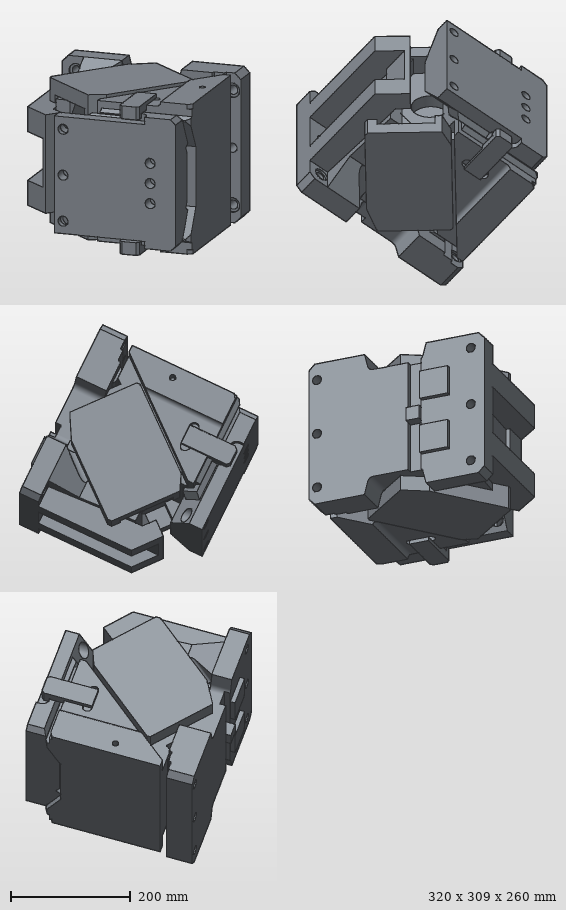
import cadquery as cq
import math


SLIDE_ANGLE = 50
SLIDE_ORIGIN = (140.8, -244.5)
FLANK_ANGLE = 60
SLOPE = math.tan(math.radians(FLANK_ANGLE))

LENGTH = 320
HALF_HEIGHT = 130.0
PLATE_DEPTH = 35.2
PLATE_CHAMFER = 10.5
BLOCK_LEFT = 202.2
BLOCK_DEPTH = 55.7
BLOCK_END_DEPTH = 45.5
BLOCK_STEPS = [(273.0, -BLOCK_DEPTH), (275.0, -50.5), (292.5, -50.5), (294.5, -BLOCK_END_DEPTH)]
BLOCK_TAB = [(240.5, -BLOCK_DEPTH), (246.0, -60.0), (268.8, -60.0), (273.0, -BLOCK_DEPTH)]
NOTCH_TOP = (106.2, 218.5)
NOTCH_FLOOR = (114.2, 211.0)
NOTCH_FILLET = 10.5
ARM_HALF_HEIGHT = 85.5
ARM_THICKNESS = 38.0
ARM_THICKNESS_END = 45.5
WINDOW_HALF_HEIGHT = 42.2
ARM_END = -207.7
HOOK_TIP = (45.0, -245.0)
HOOK_NOSE = (64.5, -222.0)
HOOK_INSIDE = (45.5, -205.8)
GUIDE_END = -193.3
WINDOW_STEP = (-192, -185.3)
GUIDE_NEAR = 64
GUIDE_START = -6.5
GUIDE_FAR_END = 201.5
CHANNEL_WALL = 160.5
CHANNEL_FILLET = 9.5
GUSSET_END = -91.2
SCREW_RADIUS = 8.0
SCREW_HEAD_RADIUS = 12.5
SCREW_HEAD_DEPTH = 4.0
LEFT_SCREW = (24.5, 104.3)
RIGHT_SCREW = (305.3, 99.5)
KEY_X = 127.0
KEY_SIZE = 24.0
KEYWAY_DEPTH = 10.2
KEY_RISE = 9.0
MOUNT_X = (63.0, 114.2)
MOUNT_Z = (24.5, 75.2)
MOUNT_RISE = 8.3

SLIDER_RIGHT = 307.5
SLIDER_BACK = -60.5
SLIDER_FRONT = -255.0
SLIDER_HALF_HEIGHT = 122.0
PAD_LEFT = 252.5
PAD_FILLET = 8.0
PAD_CORNER = (8.3, 5.0)
PIN_HOLE = (287.5, -145.3)
PIN_HOLE_RADIUS = 5.0
PIN_HOLE_DEPTH = 25.5
WEAR_STRIP_LEFT = 148.0
WEAR_STRIP_FRONT = -264.0
WEAR_STRIP_TOP = 109.5
WEAR_STRIP_EDGE = 104.3
SIDE_PLATE_TOP = 125.8
SIDE_PLATE_BOTTOM = 99.2
SIDE_PLATE = [
    (16, 5.5), (183.0, 5.5), (187.2, 9.5), (187.2, 132.0),
    (141.8, 149.5), (-5.5, 149.5), (-11.2, 144.5), (-11.2, 20.0),
]
NEAR_LEG_INNER = 32
NEAR_LEG_BOTTOM = 77.5
FAR_LEG_INNER = 129.0
RIDGE_START = 23.0
RIDGE_END = 201.5
RIDGE_SHOULDER = 32.3
RIDGE_BASE = 68.0
RIDGE_HALF_FLAT = 43.2
SPRING_RADIUS = 31.7
SPRING_DISTANCE = 40.5
SPRING_DEPTH = 21.8

KEEPER_LEFT = 193.0
KEEPER_RIGHT = 227.5
KEEPER_BACK = -206.0
KEEPER_FRONT = -295.5
KEEPER_TOP = 128.5
KEEPER_TAB_BACK = -281.5
KEEPER_TAB_BOTTOM = 106.5
KEEPER_CHAMFER = 4.8
KEEPER_SLOT_LENGTH = 51.5
KEEPER_SLOT_WIDTH = 16
KEEPER_SLOT_DEPTH = 9.5

DRIVER_LEFT = 80
DRIVER_RIGHT = 294.5
DRIVER_FRONT = -300.0
FLANK_BACK = -276.0
DRIVER_HALF_HEIGHT = 101.5
DRIVER_HALF_FLAT = 41.5
GROOVE_HALF_FLAT = 52.0
WEAR_PAD_LEFT = 124.8
WEAR_PAD_TAPER = 9.5
WEAR_PAD_EDGE = 97.0
WEAR_PAD_GAP = 12.8
RAIL_TOP = 114.0
POCKET_BACK = -280.3
POCKET_RIGHT = 240
POCKET_RADIUS = 12.5
RAIL_CHAMFER = 8.5
BOLT_RADIUS = 8.5
BOLT_HEAD_RADIUS = 13.0
BOLT_SEAT = -288
LEFT_BOLT_X = 95.5
LEFT_BOLT_Z = 79.7
RIGHT_BOLT_X = 249.5
RIGHT_BOLT_PITCH = 35.0
BLIND_DEPTH = 25.5

TALL = 640


def slide_point(along, away):
    """XY position of a point given along the slide line and square to it."""
    turn = math.radians(SLIDE_ANGLE)
    x = SLIDE_ORIGIN[0] + along * math.cos(turn) - away * math.sin(turn)
    y = SLIDE_ORIGIN[1] + along * math.sin(turn) + away * math.cos(turn)
    return (x, y)


def slide_points(points):
    return [slide_point(along, away) for along, away in points]


def upright(points, bottom, top):
    """Prism of an XY outline between two heights."""
    return cq.Workplane("XY").workplane(offset=bottom).polyline(points).close().extrude(top - bottom)


def lengthwise(points, left, right):
    """Prism of a YZ outline between two X positions."""
    return cq.Workplane("YZ").workplane(offset=left).polyline(points).close().extrude(right - left)


def symmetric(points):
    """Close an upper half outline with its mirror image below Z = 0."""
    return points + [(across, -z) for across, z in reversed(points)]


def both_sides(upper):
    return upper.union(upper.mirror("XY"))


def box(x_range, y_range, z_range):
    size = [high - low for low, high in (x_range, y_range, z_range)]
    return cq.Workplane("XY").box(*size, centered=False).translate((x_range[0], y_range[0], z_range[0]))


def bore(x, z, radius, front, back):
    """Cylinder along Y between two Y positions."""
    axis = cq.Vector(0, 1, 0)
    return cq.Workplane(cq.Solid.makeCylinder(radius, back - front, cq.Vector(x, front, z), axis))


def flank_y(z):
    """Y of the driver's V flank at a height."""
    return FLANK_BACK + (DRIVER_HALF_HEIGHT - z) / SLOPE


def contact_y(z):
    """Y where the slider's groove rests on the driver at a height."""
    return flank_y(z) + WEAR_PAD_GAP


def section_plane(along):
    """Workplane square to the slide line: local x runs away from the line, local y is Z."""
    turn = math.radians(SLIDE_ANGLE)
    return cq.Workplane(cq.Plane(
        origin=(*slide_point(along, 0), 0),
        xDir=(-math.sin(turn), math.cos(turn), 0),
        normal=(math.cos(turn), math.sin(turn), 0),
    ))


def side_plate():
    """Upper side plate with a leg along each long edge."""
    outline = slide_points(SIDE_PLATE)
    plate = upright(outline, SIDE_PLATE_BOTTOM, SIDE_PLATE_TOP)
    for inner, outer, bottom in (
        (0, NEAR_LEG_INNER, NEAR_LEG_BOTTOM),
        (FAR_LEG_INNER, CHANNEL_WALL, ARM_HALF_HEIGHT),
    ):
        strip = slide_points([(-TALL, inner), (TALL, inner), (TALL, outer), (-TALL, outer)])
        leg = upright(outline, bottom, SIDE_PLATE_BOTTOM)
        plate = plate.union(leg.intersect(upright(strip, bottom, SIDE_PLATE_BOTTOM)))
    return plate


def guide_ridge(start):
    """V ridge along the slide line; the same shape is the groove it runs in."""
    flat = RIDGE_BASE + (SIDE_PLATE_BOTTOM - RIDGE_HALF_FLAT) / SLOPE
    section = symmetric([
        (0, SIDE_PLATE_BOTTOM), (RIDGE_BASE, SIDE_PLATE_BOTTOM), (flat, RIDGE_HALF_FLAT),
    ])
    return section_plane(start).polyline(section).close().extrude(RIDGE_END - start)


def ridge_shoulders():
    """Stretches of the slider beside the slide line, before and after the ridge."""
    corner = RIDGE_START / math.tan(math.radians(SLIDE_ANGLE))
    front = [SLIDE_ORIGIN, slide_point(RIDGE_START, 0), slide_point(RIDGE_START, corner)]
    back = slide_points([
        (RIDGE_START, 0), (TALL, 0), (TALL, RIDGE_SHOULDER), (RIDGE_START, RIDGE_SHOULDER),
    ])
    behind = box((0, TALL), (SLIDER_BACK, TALL), (-TALL, TALL))
    beside = box((SLIDER_RIGHT, TALL), (-TALL, TALL), (-TALL, TALL))
    low = upright(front, -NEAR_LEG_BOTTOM, NEAR_LEG_BOTTOM)
    high = upright(back, -SIDE_PLATE_BOTTOM, SIDE_PLATE_BOTTOM)
    return low.union(high).cut(behind).cut(beside)


def right_corner(front):
    """Upright wedge that bevels the right corner of a face at the given Y."""
    outline = [
        (SLIDER_RIGHT - PAD_CORNER[0], front), (SLIDER_RIGHT, front), (SLIDER_RIGHT, front + PAD_CORNER[1]),
    ]
    return upright(outline, 0, HALF_HEIGHT)


def raised_pad(outline):
    """Upper raised pad on the right, with a hollow fillet down to the slider's top."""
    top = HALF_HEIGHT
    floor = SLIDER_HALF_HEIGHT
    section = (
        cq.Workplane("XZ")
        .moveTo(PAD_LEFT - PAD_FILLET, floor)
        .radiusArc((PAD_LEFT, top), -PAD_FILLET)
        .lineTo(SLIDER_RIGHT, top)
        .lineTo(SLIDER_RIGHT, floor)
        .close()
        .extrude(TALL, both=True)
    )
    return section.intersect(upright(outline, floor, top)).cut(right_corner(SLIDER_FRONT))


def keeper():
    """Upper keeper: a strip on the slider with a tab hooked in front of the driver's rail."""
    width = (KEEPER_LEFT, KEEPER_RIGHT)
    strip = box(width, (KEEPER_FRONT, KEEPER_BACK), (SLIDER_HALF_HEIGHT, KEEPER_TOP))
    nose = box(width, (KEEPER_FRONT, SLIDER_FRONT), (RAIL_TOP, KEEPER_TOP))
    tab = box(width, (KEEPER_FRONT, KEEPER_TAB_BACK), (KEEPER_TAB_BOTTOM, KEEPER_TOP))
    return strip.union(nose).union(tab).edges("|Z and <Y").chamfer(KEEPER_CHAMFER)


def keeper_slot():
    """Upper cross slot in the slider under the keeper's back end."""
    return (
        cq.Workplane("XY")
        .workplane(offset=SLIDER_HALF_HEIGHT)
        .center((KEEPER_LEFT + KEEPER_RIGHT) / 2, KEEPER_BACK - KEEPER_SLOT_WIDTH / 2)
        .slot2D(KEEPER_SLOT_LENGTH, KEEPER_SLOT_WIDTH)
        .extrude(-KEEPER_SLOT_DEPTH)
    )


def make_slider(plates, ridge):
    far = (SLIDER_BACK - SLIDE_ORIGIN[1]) / math.sin(math.radians(SLIDE_ANGLE))
    outline = [
        (SLIDE_ORIGIN[0], SLIDER_FRONT),
        SLIDE_ORIGIN,
        slide_point(far, 0),
        (SLIDER_RIGHT, SLIDER_BACK),
        (SLIDER_RIGHT, SLIDER_FRONT),
    ]
    body = upright(outline, -SLIDER_HALF_HEIGHT, SLIDER_HALF_HEIGHT)
    wear_strip = lengthwise(
        [
            (SLIDER_FRONT, WEAR_STRIP_TOP), (WEAR_STRIP_FRONT, WEAR_STRIP_EDGE),
            (SLIDER_FRONT, GROOVE_HALF_FLAT),
        ],
        WEAR_STRIP_LEFT, SLIDER_RIGHT,
    ).cut(right_corner(WEAR_STRIP_FRONT))
    body = body.union(both_sides(wear_strip.union(raised_pad(outline))))
    body = body.union(ridge).union(ridge_shoulders()).union(plates)

    groove = lengthwise(
        symmetric([
            (contact_y(WEAR_STRIP_TOP), WEAR_STRIP_TOP),
            (contact_y(GROOVE_HALF_FLAT), GROOVE_HALF_FLAT),
        ]),
        0, LENGTH,
    )
    spring_seat = section_plane(RIDGE_START).center(SPRING_DISTANCE, 0).circle(SPRING_RADIUS)
    pin_hole = cq.Workplane("XY").workplane(offset=HALF_HEIGHT).center(*PIN_HOLE).circle(PIN_HOLE_RADIUS)
    body = body.cut(groove).cut(spring_seat.extrude(SPRING_DEPTH)).cut(both_sides(keeper_slot()))
    body = body.cut(pin_hole.extrude(-PIN_HOLE_DEPTH))
    return body.union(both_sides(keeper()))


def back_plate():
    outline = [
        (0, 0), (LENGTH, 0), (LENGTH, -BLOCK_END_DEPTH), *reversed(BLOCK_STEPS),
        (BLOCK_LEFT, -BLOCK_DEPTH), (BLOCK_LEFT, -PLATE_DEPTH), (0, -PLATE_DEPTH),
    ]
    frame = box((0, LENGTH), (-BLOCK_DEPTH, 0), (-HALF_HEIGHT, HALF_HEIGHT))
    frame = frame.edges("|Y").chamfer(PLATE_CHAMFER)
    return frame.intersect(upright(outline, -HALF_HEIGHT, HALF_HEIGHT))


def top_notch():
    """Upper notch across the back plate, filleted along its floor."""
    notch = (
        cq.Workplane("XZ")
        .polyline([
            (NOTCH_TOP[0], HALF_HEIGHT), (NOTCH_FLOOR[0], SIDE_PLATE_BOTTOM),
            (NOTCH_FLOOR[1], SIDE_PLATE_BOTTOM), (NOTCH_TOP[1], HALF_HEIGHT),
        ])
        .close()
        .extrude(BLOCK_DEPTH)
    )
    return notch.edges("<Z and |Y").fillet(NOTCH_FILLET)


def arm():
    """Left arm with a hooked end and an open window along its outer side."""
    outline = [
        (0, -PLATE_DEPTH), (0, ARM_END), HOOK_TIP, HOOK_NOSE, HOOK_INSIDE,
        (ARM_THICKNESS_END, GUIDE_END), (ARM_THICKNESS, -PLATE_DEPTH),
    ]
    body = upright(outline, -ARM_HALF_HEIGHT, ARM_HALF_HEIGHT)
    window = [
        (0, -PLATE_DEPTH), (ARM_THICKNESS, -PLATE_DEPTH),
        (ARM_THICKNESS_END, WINDOW_STEP[1]), (ARM_THICKNESS_END, WINDOW_STEP[0]),
        (ARM_THICKNESS, WINDOW_STEP[0]), (ARM_THICKNESS, -TALL), (0, -TALL),
    ]
    return body.cut(upright(window, -WINDOW_HALF_HEIGHT, WINDOW_HALF_HEIGHT))


def guide():
    """Core of the base that carries the slider's ridge."""
    turn = math.radians(SLIDE_ANGLE)
    end_away = (GUIDE_END - slide_point(GUIDE_START, 0)[1]) / math.cos(turn)
    outline = [
        (ARM_THICKNESS, -PLATE_DEPTH), (ARM_THICKNESS_END, GUIDE_END),
        slide_point(GUIDE_START, end_away), slide_point(GUIDE_START, GUIDE_NEAR),
        slide_point(GUIDE_FAR_END, GUIDE_NEAR), (BLOCK_LEFT, -PLATE_DEPTH),
    ]
    return upright(outline, -SIDE_PLATE_BOTTOM, SIDE_PLATE_BOTTOM)


def gusset():
    """Upper sloped rib between the back plate and the arm, filleted along the guide."""
    wedge = lengthwise(
        [(-PLATE_DEPTH, SIDE_PLATE_BOTTOM), (-PLATE_DEPTH, HALF_HEIGHT), (GUSSET_END, SIDE_PLATE_BOTTOM)],
        ARM_THICKNESS, NOTCH_TOP[0],
    )
    arm_side = [
        (ARM_THICKNESS, -PLATE_DEPTH), (ARM_THICKNESS_END, GUIDE_END),
        (LENGTH, GUIDE_END), (LENGTH, -PLATE_DEPTH),
    ]
    beside_guide = (
        section_plane(0)
        .moveTo(CHANNEL_WALL - CHANNEL_FILLET, SIDE_PLATE_BOTTOM)
        .radiusArc((CHANNEL_WALL, SIDE_PLATE_BOTTOM + CHANNEL_FILLET), -CHANNEL_FILLET)
        .lineTo(CHANNEL_WALL, HALF_HEIGHT)
        .lineTo(TALL, HALF_HEIGHT)
        .lineTo(TALL, SIDE_PLATE_BOTTOM)
        .close()
        .extrude(TALL)
    )
    return wedge.intersect(beside_guide).intersect(upright(arm_side, 0, HALF_HEIGHT))


def base_screw_holes():
    holes = cq.Workplane("XY")
    for (x, z), depth in ((LEFT_SCREW, PLATE_DEPTH), (RIGHT_SCREW, BLOCK_END_DEPTH)):
        seat = SCREW_HEAD_DEPTH - depth
        for height in (-z, 0, z):
            holes = holes.add(bore(x, height, SCREW_RADIUS, -BLOCK_DEPTH, 0))
            if height:
                holes = holes.add(bore(x, height, SCREW_HEAD_RADIUS, -BLOCK_DEPTH, seat))
    return holes.combine()


def make_base(plates, groove):
    body = back_plate().union(guide()).union(arm()).union(both_sides(gusset()))
    body = body.union(upright(BLOCK_TAB, -SIDE_PLATE_BOTTOM, SIDE_PLATE_BOTTOM))
    body = body.cut(both_sides(top_notch())).cut(base_screw_holes())
    half_key = KEY_SIZE / 2
    key_width = (KEY_X - half_key, KEY_X + half_key)
    body = body.cut(box(key_width, (-KEYWAY_DEPTH, 0), (-TALL, TALL)))
    body = body.union(box(key_width, (-KEYWAY_DEPTH, KEY_RISE), (-half_key, half_key)))
    body = body.union(both_sides(box(MOUNT_X, (-KEYWAY_DEPTH, MOUNT_RISE), MOUNT_Z)))
    return body.cut(plates).cut(groove)


def wear_pad():
    """Upper wear pad on the driver's V flank, tapered at its left end."""
    slope = math.radians(FLANK_ANGLE)
    thickness = WEAR_PAD_GAP * math.sin(slope)
    length = (WEAR_PAD_EDGE - GROOVE_HALF_FLAT) / math.sin(slope)
    plane = cq.Plane(
        origin=(0, flank_y(GROOVE_HALF_FLAT), GROOVE_HALF_FLAT),
        xDir=(1, 0, 0),
        normal=(0, -math.cos(slope), math.sin(slope)),
    )
    outline = [
        (WEAR_PAD_LEFT, 0), (WEAR_PAD_LEFT + WEAR_PAD_TAPER, thickness),
        (DRIVER_RIGHT, thickness), (DRIVER_RIGHT, 0),
    ]
    return cq.Workplane(plane).polyline(outline).close().extrude(length)


def rail():
    """Upper rail behind the keeper, with a round-cornered pocket for the keeper's tab."""
    block = lengthwise(
        [
            (DRIVER_FRONT, WEAR_PAD_EDGE), (DRIVER_FRONT, RAIL_TOP),
            (contact_y(RAIL_TOP), RAIL_TOP), (contact_y(WEAR_PAD_EDGE), WEAR_PAD_EDGE),
        ],
        KEEPER_LEFT, DRIVER_RIGHT,
    )
    block = block.edges(">X and >Z").chamfer(RAIL_CHAMFER)
    pocket = box((0, POCKET_RIGHT), (-TALL, POCKET_BACK), (DRIVER_HALF_HEIGHT, RAIL_TOP))
    pocket = pocket.edges("|Z and >X and >Y").fillet(POCKET_RADIUS)
    return block.cut(pocket)


def make_driver():
    section = symmetric([
        (DRIVER_FRONT, DRIVER_HALF_HEIGHT),
        (FLANK_BACK, DRIVER_HALF_HEIGHT),
        (flank_y(DRIVER_HALF_FLAT), DRIVER_HALF_FLAT),
    ])
    body = lengthwise(section, DRIVER_LEFT, DRIVER_RIGHT)
    body = body.union(both_sides(wear_pad().union(rail())))
    for z in (-LEFT_BOLT_Z, LEFT_BOLT_Z):
        body = body.cut(bore(LEFT_BOLT_X, z, BOLT_RADIUS, DRIVER_FRONT, 0))
        body = body.cut(bore(LEFT_BOLT_X, z, BOLT_HEAD_RADIUS, BOLT_SEAT, 0))
    blind_holes = [(LEFT_BOLT_X, 0)]
    blind_holes += [(RIGHT_BOLT_X, row * RIGHT_BOLT_PITCH) for row in (-1, 0, 1)]
    for x, z in blind_holes:
        body = body.cut(bore(x, z, BOLT_RADIUS, DRIVER_FRONT, DRIVER_FRONT + BLIND_DEPTH))
    return body


side_plates = both_sides(side_plate())
base = make_base(side_plates, guide_ridge(GUIDE_START))
slider = make_slider(side_plates, guide_ridge(RIDGE_START))
driver = make_driver()

result = cq.Compound.makeCompound([base.solids().val(), slider.solids().val(), driver.solids().val()])